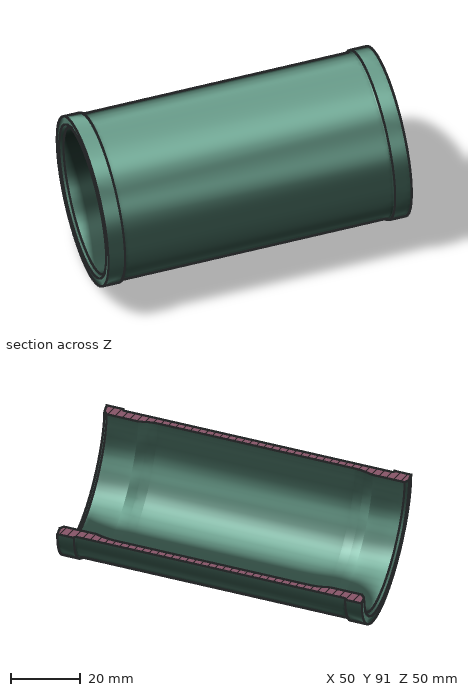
import cadquery as cq
import math

length = 91.0
collar_radius = 25.0
body_radius = 24.5
collar_width = 5.0

mouth_radius = 22.7
land_radius = 21.7
lead_in_depth = 1.0
land_end_depth = 10.5
taper_length = 2.7
taper_rise = 0.55
blend_radius = 14.6

half_length = length / 2
collar_inner_end = half_length - collar_width
collar_fillet = collar_radius - body_radius
land_end = half_length - land_end_depth
taper_end = land_end - taper_length
taper_radius = land_radius + taper_rise

taper_angle = math.atan2(taper_rise, taper_length)
relief_end = taper_end - blend_radius * math.sin(taper_angle)
relief_radius = taper_radius + blend_radius * (1 - math.cos(taper_angle))


def arc_midpoint(centre_radius, centre_y, arc_radius, angle):
    """Point on an arc, with the angle measured from the outward radial direction towards +Y."""
    return (centre_radius + arc_radius * math.cos(angle), centre_y + arc_radius * math.sin(angle))


fillet_mid_radius, fillet_mid_y = arc_midpoint(
    collar_radius, collar_inner_end - collar_fillet, collar_fillet, math.radians(135)
)
blend_mid_radius, blend_mid_y = arc_midpoint(
    relief_radius - blend_radius, relief_end, blend_radius, taper_angle / 2
)

wall = (
    cq.Workplane("XY")
    .moveTo(-mouth_radius, -half_length)
    .lineTo(-collar_radius, -half_length)
    .lineTo(-collar_radius, -collar_inner_end)
    .threePointArc((-fillet_mid_radius, -fillet_mid_y), (-body_radius, collar_fillet - collar_inner_end))
    .lineTo(-body_radius, collar_inner_end - collar_fillet)
    .threePointArc((-fillet_mid_radius, fillet_mid_y), (-collar_radius, collar_inner_end))
    .lineTo(-collar_radius, half_length)
    .lineTo(-mouth_radius, half_length)
    .lineTo(-land_radius, half_length - lead_in_depth)
    .lineTo(-land_radius, land_end)
    .lineTo(-taper_radius, taper_end)
    .threePointArc((-blend_mid_radius, blend_mid_y), (-relief_radius, relief_end))
    .lineTo(-relief_radius, -relief_end)
    .threePointArc((-blend_mid_radius, -blend_mid_y), (-taper_radius, -taper_end))
    .lineTo(-land_radius, -land_end)
    .lineTo(-land_radius, lead_in_depth - half_length)
    .close()
)
result = wall.revolve(360, (0, 0), (0, 1))